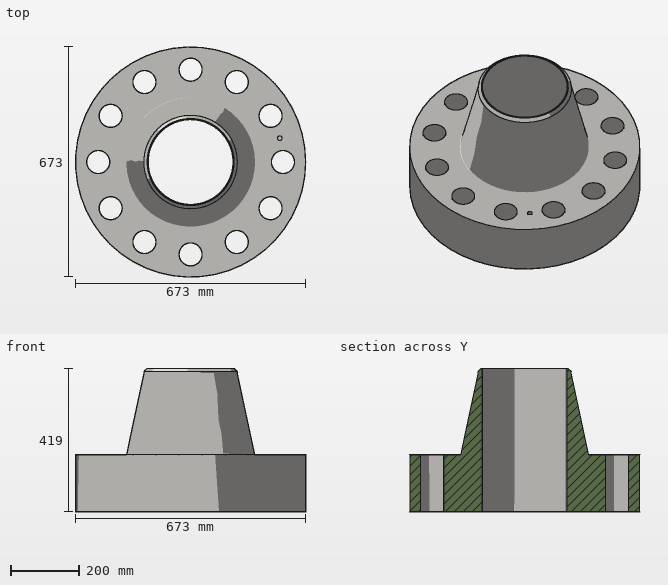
import cadquery as cq

flange_diameter = 673.0
flange_thickness = 167.0

overall_height = 419.0
hub_base_diameter = 375.0
neck_diameter = 273.0
neck_land_height = 6.0
base_fillet_radius = 3.0

bevel_height = 9.0
end_face_diameter = 254.5
bore_diameter = 247.5

bolt_count = 12
bolt_circle_diameter = 540.0
bolt_hole_diameter = 66.5

pin_hole_diameter = 13.5
pin_hole_depth = 33.5

bolt_pitch_angle = 360.0 / bolt_count
bolt_circle_radius = bolt_circle_diameter / 2


def make_body():
    """Revolve the flange, tapered neck, land and weld bevel around Z, then round the hub base."""
    bevel_start = overall_height - bevel_height
    land_start = bevel_start - neck_land_height
    profile = (
        cq.Workplane("XZ")
        .moveTo(bore_diameter / 2, 0)
        .lineTo(flange_diameter / 2, 0)
        .lineTo(flange_diameter / 2, flange_thickness)
        .lineTo(hub_base_diameter / 2, flange_thickness)
        .lineTo(neck_diameter / 2, land_start)
        .lineTo(neck_diameter / 2, bevel_start)
        .lineTo(end_face_diameter / 2, overall_height)
        .lineTo(bore_diameter / 2, overall_height)
        .close()
    )
    body = profile.revolve(360, (0, 0, 0), (0, 1, 0))
    hub_base_edge = cq.selectors.RadiusNthSelector(-2)
    return body.edges(hub_base_edge).fillet(base_fillet_radius)


def holes_on_bolt_circle(diameter, depth, count, start_angle):
    """Cylinders sunk from the flange's upper face, placed on the bolt circle."""
    return (
        cq.Workplane("XY", origin=(0, 0, flange_thickness))
        .polarArray(bolt_circle_radius, start_angle, 360, count)
        .circle(diameter / 2)
        .extrude(-depth)
    )


bolt_holes = holes_on_bolt_circle(bolt_hole_diameter, flange_thickness, bolt_count, 0)
pin_hole = holes_on_bolt_circle(pin_hole_diameter, pin_hole_depth, 1, bolt_pitch_angle / 2)

result = make_body().cut(bolt_holes).cut(pin_hole)